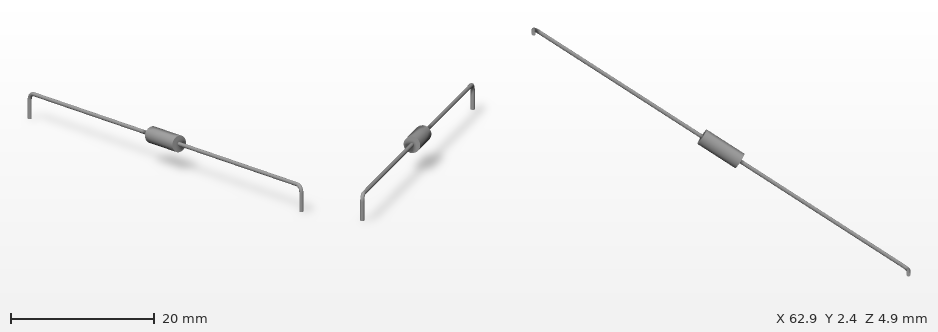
import cadquery as cq

overall_length = 62.9
overall_height = 4.9
body_diameter = 2.4
body_length = 6.3
lead_diameter = 0.55
bend_radius = 0.95

body_end_x = body_length / 2
leg_x = (overall_length - lead_diameter) / 2
leg_bottom_z = body_diameter / 2 - overall_height


def make_body():
    end_plane = cq.Workplane("YZ", origin=(-body_end_x, 0, 0))
    return end_plane.circle(body_diameter / 2).extrude(body_length)


def make_lead(side):
    """Lead from one body end face, bent down into a leg; side is -1 or +1 along X."""
    centreline = (
        cq.Workplane("XZ")
        .moveTo(side * body_end_x, 0)
        .lineTo(side * (leg_x - bend_radius), 0)
        .tangentArcPoint((side * leg_x, -bend_radius), relative=False)
        .lineTo(side * leg_x, leg_bottom_z)
    )
    return (
        cq.Workplane("YZ", origin=(side * body_end_x, 0, 0))
        .circle(lead_diameter / 2)
        .sweep(centreline)
    )


body = make_body()
leads = [make_lead(side) for side in (-1, 1)]

result = cq.Compound.makeCompound([body.val(), *[lead.val() for lead in leads]])